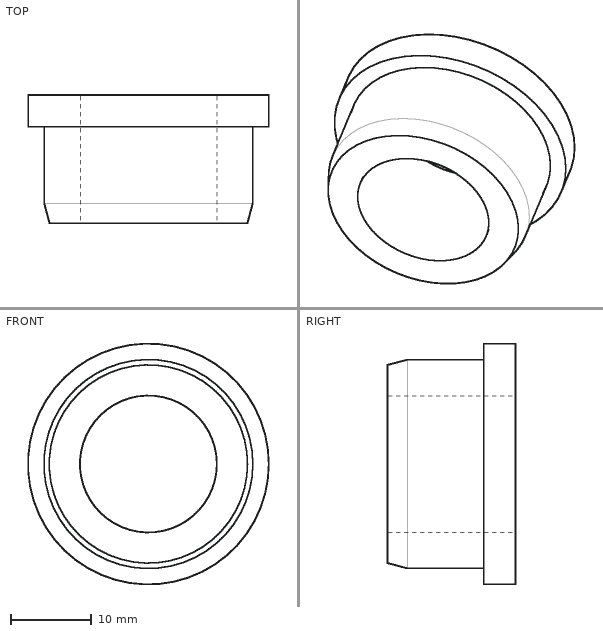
import cadquery as cq
import math

flange_diameter = 30.0
flange_thickness = 4.0
total_length = 16.0
body_diameter = 26.0
bore_diameter = 17.0

taper_length = 2.5
taper_angle = 15.0

flange_radius = flange_diameter / 2
body_radius = body_diameter / 2
bore_radius = bore_diameter / 2
tip_radius = body_radius - taper_length * math.tan(math.radians(taper_angle))
flange_start = total_length - flange_thickness

half_section = (
    cq.Workplane("XY")
    .moveTo(bore_radius, 0)
    .lineTo(tip_radius, 0)
    .lineTo(body_radius, taper_length)
    .lineTo(body_radius, flange_start)
    .lineTo(flange_radius, flange_start)
    .lineTo(flange_radius, total_length)
    .lineTo(bore_radius, total_length)
    .close()
)

result = half_section.revolve(360, (0, 0, 0), (0, 1, 0))